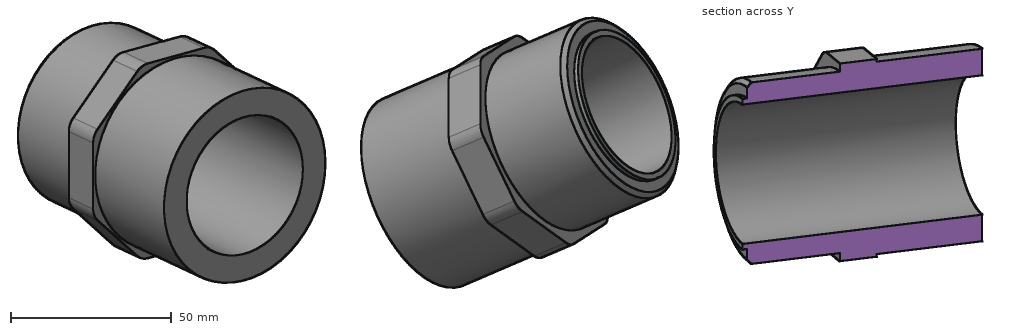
import cadquery as cq
import math

total_length = 80.0
spigot_length = 1.5
nut_start = 32.5
nut_end = 44.9

bore_diameter = 45.6
spigot_diameter = 49.6
male_diameter = 59.8
socket_diameter = 63.4
male_chamfer = 1.5
nut_across_flats = 65.0
nut_corner_radius = 5.8
nut_sides = 8


def cylinder(diameter, start, end):
    """Round bar along X between two positions."""
    return cq.Workplane("YZ").workplane(offset=start).circle(diameter / 2).extrude(end - start)


def octagonal_nut():
    """Octagonal grip with flats facing Y and Z and rounded corners."""
    half_side_angle = math.pi / nut_sides
    across_corners = nut_across_flats / math.cos(half_side_angle)
    return (
        cq.Workplane("YZ")
        .workplane(offset=nut_start)
        .transformed(rotate=(0, 0, math.degrees(half_side_angle)))
        .polygon(nut_sides, across_corners)
        .extrude(nut_end - nut_start)
        .edges("|X")
        .fillet(nut_corner_radius)
    )


spigot = cylinder(spigot_diameter, 0, nut_start)
male_end = cylinder(male_diameter, spigot_length, nut_start).faces("<X").chamfer(male_chamfer)
socket_end = cylinder(socket_diameter, nut_end, total_length)
bore = cylinder(bore_diameter, 0, total_length)

result = octagonal_nut().union(male_end).union(spigot).union(socket_end).cut(bore)